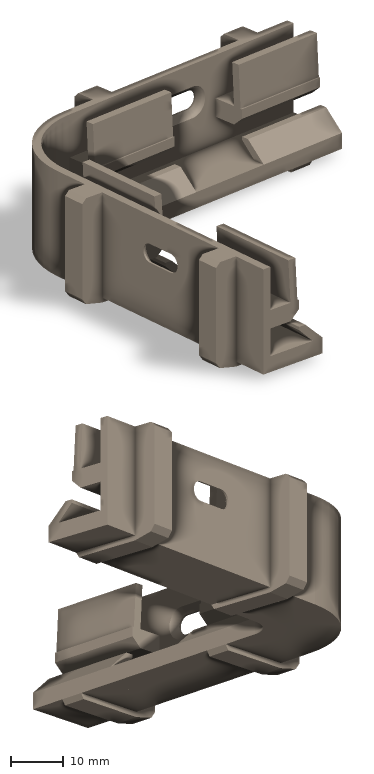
import cadquery as cq


bend_sweep = 86.55
outer_radius = 20.0
channel_width = 15.0
inner_radius = outer_radius - channel_width
clip_length = 21.0
middle_length = 18.1

wall_height = 22.1
wall_thickness = 1.8
floor_thickness = 3.35

slot_length = 10.0
slot_height = 4.0
slot_center_z = 14.1
slot_rim = 0.4
countersink_angle = 45

plate_thickness = 1.8
plate_top_depth = 6.35
plate_lean = 0.5
shelf_top_z = 13.05
shelf_underside_z = 9.2
shelf_tip_depth = 9.0
shelf_tip_height = 2.0
shelf_underside_depth = 6.9

lip_tip_depth = 9.1
lip_top_width = 1.6
lip_top_z = 7.3
lip_tip_height = 0.7
lip_foot_depth = 12.5

rib_width = 5.0
rib_reach = 5.0
rib_drop = 1.1
rib_chamfer = 1.0
rib_nose_bottom_z = 1.15
rib_slope_start_z = -0.2
rib_inner_chamfer = 0.7

outer_face_y = -outer_radius
inner_edge_y = -inner_radius


def extrude_along_x(points, start, length):
    """Solid with a section given as (depth inward from the outer wall face, height) points."""
    section = cq.Workplane("YZ", origin=(start, outer_face_y, 0)).polyline(points).close()
    return section.extrude(length)


def channel(start, length):
    """Straight length of the wall and floor."""
    points = [
        (0, 0),
        (channel_width, 0),
        (channel_width, floor_thickness),
        (wall_thickness, floor_thickness),
        (wall_thickness, wall_height),
        (0, wall_height),
    ]
    return extrude_along_x(points, start, length)


def shelf_and_plate(start):
    """Shelf on the wall with a bevel under its tip and the leaning plate above it."""
    points = [
        (0, shelf_underside_z),
        (shelf_underside_depth, shelf_underside_z),
        (shelf_tip_depth, shelf_top_z - shelf_tip_height),
        (shelf_tip_depth, shelf_top_z),
        (plate_top_depth + plate_lean + plate_thickness, shelf_top_z),
        (plate_top_depth + plate_thickness, wall_height),
        (plate_top_depth, wall_height),
        (plate_top_depth + plate_lean, shelf_top_z),
        (0, shelf_top_z),
    ]
    return extrude_along_x(points, start, clip_length)


def lip(start):
    """Sloping lip with a flat top, overhanging the floor."""
    points = [
        (lip_foot_depth, 0),
        (channel_width, 0),
        (channel_width, floor_thickness),
        (lip_tip_depth + lip_top_width, lip_top_z),
        (lip_tip_depth, lip_top_z),
        (lip_tip_depth, lip_top_z - lip_tip_height),
        (lip_foot_depth, floor_thickness),
    ]
    return extrude_along_x(points, start, clip_length)


def rib(start):
    """Rib centred on the clip segment, with a chamfered nose and a tapering underside."""
    points = [
        (0, wall_height),
        (rib_chamfer - rib_reach, wall_height),
        (-rib_reach, wall_height - rib_chamfer),
        (-rib_reach, rib_nose_bottom_z),
        (rib_chamfer - rib_reach, rib_slope_start_z),
        (0, -rib_drop),
        (channel_width - rib_inner_chamfer, -rib_drop),
        (channel_width, 0),
        (0, 0),
    ]
    return extrude_along_x(points, start + (clip_length - rib_width) / 2, rib_width)


def clip_segment(start):
    """Channel with the shelf, plate, lip and rib of one clip, all one solid."""
    return channel(start, clip_length).union(shelf_and_plate(start)).union(lip(start)).union(rib(start))


def middle_segment(start):
    """Channel with a countersunk slot at the middle of its wall."""
    slot_center_x = start + middle_length / 2
    slot_plane = cq.Workplane("XZ", origin=(slot_center_x, outer_face_y, slot_center_z))
    slot = slot_plane.slot2D(slot_length, slot_height).extrude(-wall_thickness)
    countersink = (
        slot_plane.workplane(offset=-slot_rim)
        .slot2D(slot_length, slot_height)
        .extrude(slot_rim - wall_thickness, taper=-countersink_angle)
    )
    return channel(start, middle_length).cut(slot).cut(countersink)


def bend_segment():
    """Channel section turned about the Z axis, from the first arm round to the second."""
    points = [
        (inner_edge_y, 0),
        (outer_face_y, 0),
        (outer_face_y, wall_height),
        (outer_face_y + wall_thickness, wall_height),
        (outer_face_y + wall_thickness, floor_thickness),
        (inner_edge_y, floor_thickness),
    ]
    section = cq.Workplane("YZ").polyline(points).close()
    return section.revolve(bend_sweep, (0, 0, 0), (0, -1, 0))


def on_second_arm(segment):
    """The mirror image of a first-arm segment, turned to the far end of the bend."""
    return segment.mirror("YZ").rotate((0, 0, 0), (0, 0, 1), -bend_sweep)


clip_starts = [0, clip_length + middle_length]
clips = [clip_segment(start) for start in clip_starts]
middle = middle_segment(clip_length)
bend = bend_segment()

first_arm = [*clips, middle]
second_arm = [on_second_arm(segment) for segment in first_arm]
result = cq.Compound.makeCompound([bend.val(), *(segment.val() for segment in first_arm + second_arm)])